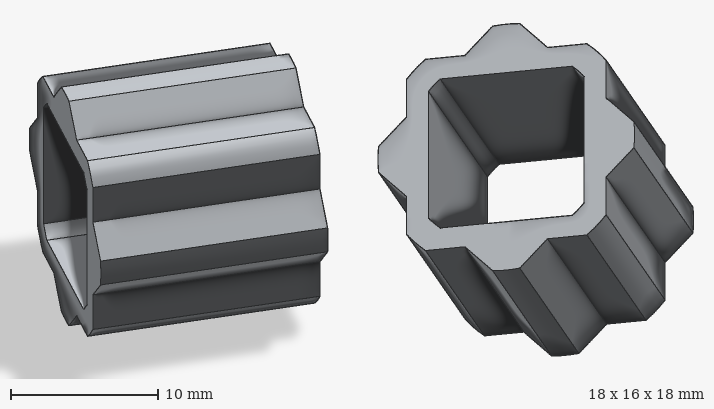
import cadquery as cq

LENGTH = 16.0
OUTER_DIAMETER = 18.0
OUTER_SQUARE = 14.0
BORE_SQUARE = 10.9
BORE_CORNER_DIAMETER = 14.3
LOBE_ANGLE = 45.0


def rounded_square_bar(across_flats, corner_diameter, angle=0.0):
    """Square bar along Y, corners cut by a concentric cylinder, turned about Y."""
    square = cq.Workplane("XY").box(across_flats, LENGTH, across_flats)
    cylinder = cq.Workplane("XZ").circle(corner_diameter / 2).extrude(LENGTH / 2, both=True)
    return square.intersect(cylinder).rotate((0, 0, 0), (0, 1, 0), angle)


upright_bar = rounded_square_bar(OUTER_SQUARE, OUTER_DIAMETER)
lobe_bar = rounded_square_bar(OUTER_SQUARE, OUTER_DIAMETER, LOBE_ANGLE)

bore = rounded_square_bar(BORE_SQUARE, BORE_CORNER_DIAMETER)

result = upright_bar.union(lobe_bar).cut(bore)